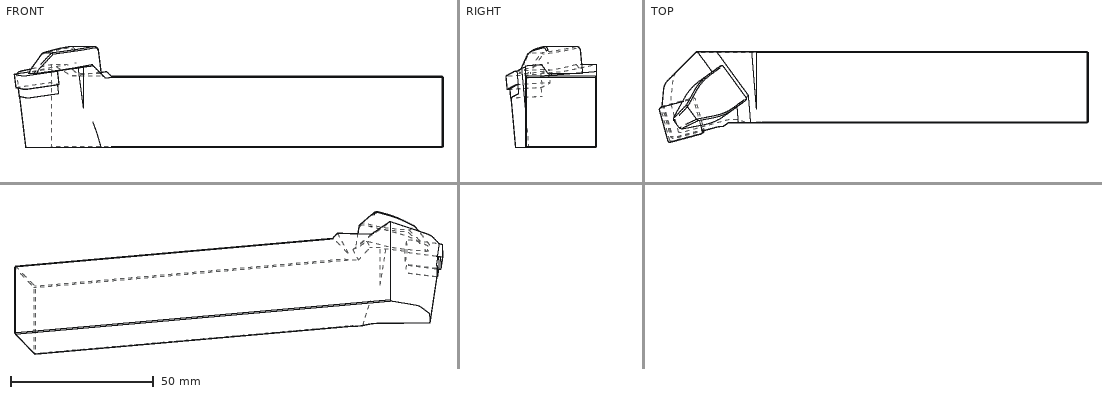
import cadquery as cq
import math

shank_size = 25.0
shank_end_x = 150.24
shank_chamfer = 0.4

corner_x = 3.1927
corner_y = -7.0
corner_z = shank_size
lead_angle = 15.0
edge_tilt = 8.0
side_tilt = 3.2
insert_side = 12.7
insert_thickness = 4.76
nose_radius = 0.8

shim_thickness = 3.18
shim_setback = 0.7
shim_corner_radius = 1.2

flank_setback = 0.9
side_flank_length = 12.1
side_flank_turn = 21.0
back_blend_radius = 5.0
back_blend_y = 14.0
kink_blend_radius = 3.8
cove_start = 17.8
cove_radius = 9.2
cove_sweep = 80.0
head_back_x = 13.1
shoulder_x = 24.2
shoulder_angle = 35.0
neck_x = 34.0
pocket_depth = insert_thickness
front_slope_x = 27.7

clamp_nose_x = 6.05
clamp_nose_y = -0.46
clamp_angle = 36.0
clamp_length = 24.9
clamp_height = 6.14
clamp_nose_half = 2.2
clamp_nose_bevel = 0.5
clamp_flare = 25.0
clamp_flare_length = 7.8
clamp_flare_radius = 17.7
clamp_sweep = 0.9
clamp_nose_height = 0.6
clamp_ramp_length = 7.7
clamp_back_radius = 2.0
clamp_corner_radius = 0.8
clamp_edge_chamfer = 0.5
heel_start = 21.1

reach = 80.0


def heading(angle):
    """Horizontal unit vector at an angle from +X."""
    return cq.Vector(math.cos(math.radians(angle)), math.sin(math.radians(angle)), 0)


slope = (heading(lead_angle) * math.tan(math.radians(edge_tilt))
         + heading(lead_angle + 90) * math.tan(math.radians(side_tilt)))
top_normal = cq.Vector(-slope.x, -slope.y, 1).normalized()


def top_plane(x, y, angle):
    """Plane on the insert top above (x, y), its local x at a plan angle."""
    z = corner_z + slope.x * (x - corner_x) + slope.y * (y - corner_y)
    along = heading(angle)
    x_dir = along + cq.Vector(0, 0, slope.dot(along))
    return cq.Plane(origin=(x, y, z), xDir=x_dir.toTuple(), normal=top_normal.toTuple())


insert_plane = top_plane(corner_x, corner_y, lead_angle)
clamp_plane = top_plane(clamp_nose_x, clamp_nose_y, clamp_angle)


def square_plate(setback, top_depth, thickness, corner_radius):
    """Rounded square plate below the insert top, its inner sides fixed."""
    side = insert_side - setback
    plate = (
        cq.Workplane(insert_plane)
        .workplane(offset=-top_depth)
        .rect(side, side, centered=False)
        .extrude(-thickness)
        .edges(cq.selectors.ParallelDirSelector(top_normal))
        .fillet(corner_radius)
    )
    shift = (insert_plane.xDir + insert_plane.yDir) * setback
    return plate.translate(shift)


def above_plane(depth):
    """Everything above the plane parallel to the insert top at a depth."""
    return (
        cq.Workplane(insert_plane)
        .workplane(offset=-depth)
        .rect(4 * reach, 4 * reach)
        .extrude(reach)
    )


def make_shank():
    """Square bar behind the neck."""
    length = shank_end_x - neck_x
    return (
        cq.Workplane("XY")
        .box(length, shank_size, shank_size, centered=False)
        .edges("|X or >X")
        .chamfer(shank_chamfer)
        .translate((neck_x, 0, 0))
    )


def make_head_blank():
    """Plan outline of the head, with its 45 degree corner and front shoulder."""
    front_y = 2 * corner_y
    corner_cut = shank_size - front_y
    plan = (
        cq.Workplane("XY")
        .moveTo(head_back_x, shank_size)
        .lineTo(head_back_x - corner_cut, front_y)
        .lineTo(shoulder_x + front_y / math.tan(math.radians(shoulder_angle)), front_y)
        .lineTo(shoulder_x, 0)
        .lineTo(neck_x, 0)
        .lineTo(neck_x, shank_size)
        .close()
        .extrude(2 * shank_size)
        .edges("|X and >Y and <Z")
        .chamfer(shank_chamfer)
    )
    above_neck = (
        cq.Workplane("XZ")
        .moveTo(neck_x, shank_size)
        .lineTo(neck_x - shank_size, 2 * shank_size)
        .lineTo(neck_x, 2 * shank_size)
        .close()
        .extrude(reach, both=True)
    )
    return plan.cut(above_neck)


def make_flank_envelope():
    """Space behind the head flanks, which run square to the insert top."""
    turn = math.radians(side_flank_turn)
    kink_x = flank_setback
    far_x = kink_x + reach * math.tan(turn)
    sweep = math.radians(cove_sweep)
    half_sweep = sweep / 2
    cove_mid = (
        cove_start + cove_radius * math.sin(half_sweep),
        flank_setback - cove_radius * (1 - math.cos(half_sweep)),
    )
    cove_end = (
        cove_start + cove_radius * math.sin(sweep),
        flank_setback - cove_radius * (1 - math.cos(sweep)),
    )
    round_offset = nose_radius * (1 - math.sqrt(0.5))
    return (
        cq.Workplane(insert_plane)
        .workplane(offset=reach)
        .moveTo(kink_x, flank_setback + nose_radius)
        .threePointArc(
            (kink_x + round_offset, flank_setback + round_offset),
            (kink_x + nose_radius, flank_setback),
        )
        .lineTo(cove_start, flank_setback)
        .threePointArc(cove_mid, cove_end)
        .lineTo(cove_end[0], -reach)
        .lineTo(2 * reach, -reach)
        .lineTo(2 * reach, reach)
        .lineTo(far_x, side_flank_length + reach)
        .lineTo(kink_x, side_flank_length)
        .close()
        .extrude(-2 * reach)
    )


def make_clamp_pocket():
    """Space behind the two 45 degree slopes, down to the pocket floor."""
    heel = (
        cq.Workplane(clamp_plane)
        .transformed(rotate=(90, 0, 0))
        .moveTo(heel_start - reach, reach)
        .lineTo(heel_start + reach, -reach)
        .lineTo(heel_start + reach, reach)
        .close()
        .extrude(reach, both=True)
    )
    slope_plane = top_plane(front_slope_x, 0, 0)
    front = (
        cq.Workplane("XZ", origin=slope_plane.origin.toTuple())
        .moveTo(-reach, reach)
        .lineTo(reach, -reach)
        .lineTo(reach, reach)
        .close()
        .extrude(reach, both=True)
    )
    return heel.union(front).intersect(above_plane(pocket_depth))


def make_clamp():
    """Wedge-nosed clamp with rearward leaning sides and a heel in its pocket."""
    flare = math.radians(clamp_flare)
    bevel_half = clamp_nose_half + clamp_nose_bevel * math.tan(flare)
    flare_half = clamp_nose_half + clamp_flare_length * math.tan(flare)
    blend_length = clamp_flare_radius * math.sin(flare)
    half_width = flare_half + clamp_flare_radius * (1 - math.cos(flare))
    side_x = clamp_flare_length + blend_length
    mid_x = side_x - clamp_flare_radius * math.sin(flare / 2)
    mid_half = half_width - clamp_flare_radius * (1 - math.cos(flare / 2))
    outline = (
        cq.Workplane(clamp_plane)
        .moveTo(0, clamp_nose_bevel - clamp_nose_half)
        .lineTo(clamp_nose_bevel, -bevel_half)
        .lineTo(clamp_flare_length, -flare_half)
        .threePointArc((mid_x, -mid_half), (side_x, -half_width))
        .lineTo(clamp_length, -half_width)
        .lineTo(clamp_length, half_width)
        .lineTo(side_x, half_width)
        .threePointArc((mid_x, mid_half), (clamp_flare_length, flare_half))
        .lineTo(clamp_nose_bevel, bevel_half)
        .lineTo(0, clamp_nose_half - clamp_nose_bevel)
        .close()
    )
    lean = clamp_plane.zDir * clamp_height + clamp_plane.xDir * (clamp_height * clamp_sweep)
    swept = cq.Workplane(cq.Solid.extrudeLinear(outline.val(), [], lean))

    lengthwise = cq.Workplane(clamp_plane).transformed(rotate=(90, 0, 0))
    profile = (
        lengthwise
        .lineTo(clamp_length, 0)
        .lineTo(clamp_length, clamp_height - clamp_back_radius)
        .radiusArc((clamp_length - clamp_back_radius, clamp_height), -clamp_back_radius)
        .lineTo(clamp_ramp_length, clamp_height)
        .lineTo(0, clamp_nose_height)
        .close()
        .extrude(half_width, both=True)
    )
    heel = (
        lengthwise
        .moveTo(heel_start, 0)
        .lineTo(clamp_length, 0)
        .lineTo(clamp_length, -pocket_depth)
        .lineTo(heel_start, -pocket_depth)
        .close()
        .extrude(half_width, both=True)
    )
    side_edges = cq.selectors.InverseSelector(cq.selectors.ParallelDirSelector(clamp_plane.yDir))
    ramp_middle = clamp_plane.toWorldCoords(
        (clamp_ramp_length / 2, 0, (clamp_nose_height + clamp_height) / 2)
    )
    clamp = swept.intersect(profile)
    top_face = clamp.faces(cq.selectors.DirectionMinMaxSelector(top_normal))
    ramp_face = clamp.faces(cq.selectors.NearestToPointSelector(ramp_middle.toTuple()))
    rim = top_face.edges(side_edges).add(ramp_face.edges(side_edges))
    clamp = clamp.newObject(rim.vals()).chamfer(clamp_edge_chamfer)
    rounded_back = (
        cq.Workplane(clamp_plane)
        .workplane(offset=-pocket_depth)
        .rect(2 * clamp_length, 2 * half_width)
        .extrude(pocket_depth + clamp_height)
        .edges(cq.selectors.ParallelDirSelector(top_normal))
        .fillet(clamp_corner_radius)
    )
    return clamp.union(heel).intersect(rounded_back)


def make_holder():
    """Shank and head with the shim and clamp fixed to it, around the insert seat."""
    seat = square_plate(0, 0, insert_thickness, nose_radius)
    shim = square_plate(shim_setback, insert_thickness, shim_thickness, shim_corner_radius)
    body = make_head_blank().union(make_shank())
    body = body.intersect(make_flank_envelope())
    back_blend_x = head_back_x - (shank_size - back_blend_y)
    back_blend_point = (back_blend_x, back_blend_y, shank_size / 2)
    back_edge = cq.selectors.NearestToPointSelector(back_blend_point)
    body = body.edges(back_edge).fillet(back_blend_radius)
    kink = insert_plane.toWorldCoords((flank_setback, side_flank_length, -shank_size / 2))
    kink_edge = cq.selectors.NearestToPointSelector(kink.toTuple())
    body = body.edges(kink_edge).fillet(kink_blend_radius)
    head_space = cq.Workplane("XY").box(2 * neck_x, 2 * reach, 2 * reach)
    body = body.cut(above_plane(0).intersect(head_space))
    body = body.cut(make_clamp_pocket())
    return body.cut(seat).union(shim).union(make_clamp())


insert = square_plate(0, 0, insert_thickness, nose_radius)
holder = make_holder()
result = cq.Compound.makeCompound([holder.val(), insert.val()])